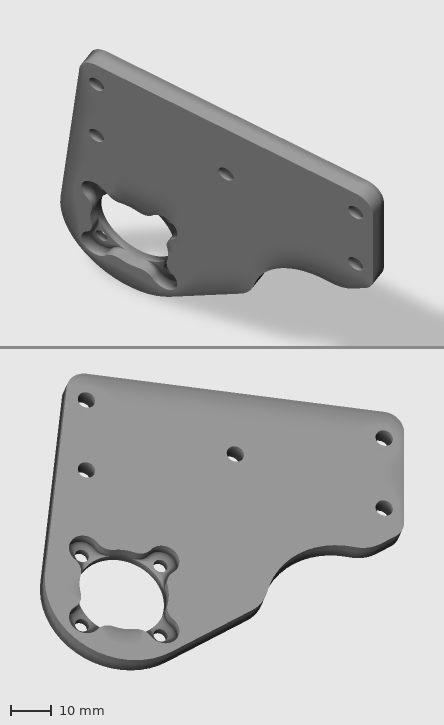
import cadquery as cq
import math

thickness = 5.0
motor_end_radius = 20.0
corner_radius = 5.0

mount_hole_diameter = 4.35
mount_column_spacing = 75.0
mount_row_spacing = 20.0
left_column_x = -9.5
right_column_x = left_column_x + mount_column_spacing
upper_row_z = 52.75
lower_row_z = upper_row_z - mount_row_spacing
center_hole_x = (left_column_x + right_column_x) / 2
center_hole_z = (upper_row_z + lower_row_z) / 2

top_edge_margin = 7.5
top_z = upper_row_z + top_edge_margin
top_corner_z = top_z - corner_radius
lower_corner_z = 29.25

relief_x = 56.2
relief_z = -0.1
relief_radius = 20.7
relief_fillet = 10.0

motor_bore_diameter = 22.5
motor_bolt_circle = 28.0
motor_bolt_count = 4
motor_bolt_first_angle = math.radians(45)
motor_hole_diameter = 3.5
recess_lobe_radius = 4.0
recess_fillet = 4.0
recess_depth = 3.0

motor_axis = (0.0, 0.0)
upper_left = (left_column_x, top_corner_z)
upper_right = (right_column_x, top_corner_z)
lower_right = (right_column_x, lower_corner_z)
relief_center = (relief_x, relief_z)


def front_plane():
    """XZ workplane on the front face."""
    return cq.Workplane("XZ", origin=(0, -thickness / 2, 0))


def extrude_back(sketch, depth):
    """Extrude from the front face toward +Y."""
    return sketch.extrude(-depth)


def point_at(center, distance, angle):
    """Point at a distance from a center, at an angle in radians from +X toward +Z."""
    return (center[0] + distance * math.cos(angle), center[1] + distance * math.sin(angle))


def tangent_normal(start, start_radius, end, end_radius):
    """Normal angle of the line tangent to two circles on the right side, going start to end."""
    run = end[0] - start[0]
    rise = end[1] - start[1]
    swing = math.asin((start_radius - end_radius) / math.hypot(run, rise))
    return math.atan2(rise, run) - math.pi / 2 + swing


def fillet_edge_at(solid, point, radius):
    """Fillet the through-thickness edge nearest to an (x, z) point."""
    nearest = cq.selectors.NearestToPointSelector((point[0], 0, point[1]))
    return solid.edges("|Y").edges(nearest).fillet(radius)


def plate_blank():
    """Counterclockwise outline: straight sides run between the rounded corners and the motor end."""
    slope_normal = tangent_normal(motor_axis, motor_end_radius, lower_right, corner_radius)
    right_normal = 0.0
    top_normal = math.pi / 2
    quarter_normal = math.pi
    quarter_end = point_at(upper_left, corner_radius, quarter_normal)
    left_normal = tangent_normal(quarter_end, 0, motor_axis, motor_end_radius) % (2 * math.pi)
    full_turn_slope_normal = slope_normal + 2 * math.pi

    rounded_ends = [
        (lower_right, corner_radius, slope_normal, right_normal),
        (upper_right, corner_radius, right_normal, top_normal),
        (upper_left, corner_radius, top_normal, quarter_normal),
        (motor_axis, motor_end_radius, left_normal, full_turn_slope_normal),
    ]
    outline = front_plane().moveTo(*point_at(motor_axis, motor_end_radius, slope_normal))
    for center, radius, first_normal, last_normal in rounded_ends:
        middle = point_at(center, radius, (first_normal + last_normal) / 2)
        outline = outline.lineTo(*point_at(center, radius, first_normal))
        outline = outline.threePointArc(middle, point_at(center, radius, last_normal))
    return extrude_back(outline.close(), thickness)


def cut_relief(plate):
    """Cut the round relief and blend both of its ends into the sloping edge."""
    relief = extrude_back(front_plane().center(*relief_center).circle(relief_radius), thickness)
    plate = plate.cut(relief)

    normal = tangent_normal(motor_axis, motor_end_radius, lower_right, corner_radius)
    center_height = relief_x * math.cos(normal) + relief_z * math.sin(normal)
    gap = motor_end_radius - center_height
    foot = point_at(relief_center, gap, normal)
    half_chord = math.sqrt(relief_radius**2 - gap**2)
    for distance in (-half_chord, half_chord):
        crossing = point_at(foot, distance, normal + math.pi / 2)
        plate = fillet_edge_at(plate, crossing, relief_fillet)
    return plate


def motor_bolt_centers():
    """Centers of the motor screws, equally spaced on the bolt circle."""
    spacing = 2 * math.pi / motor_bolt_count
    angles = [motor_bolt_first_angle + i * spacing for i in range(motor_bolt_count)]
    return [point_at(motor_axis, motor_bolt_circle / 2, angle) for angle in angles]


def motor_recess():
    """Bore-sized disc with a lobe around each motor hole, blended by concave fillets."""
    bore_radius = motor_bore_diameter / 2
    bolt_radius = motor_bolt_circle / 2
    recess = extrude_back(front_plane().circle(bore_radius), recess_depth)
    lobes = front_plane().pushPoints(motor_bolt_centers()).circle(recess_lobe_radius)
    recess = recess.union(extrude_back(lobes, recess_depth))

    cosine_numerator = bolt_radius**2 + bore_radius**2 - recess_lobe_radius**2
    half_angle = math.acos(cosine_numerator / (2 * bolt_radius * bore_radius))
    for x, z in motor_bolt_centers():
        lobe_angle = math.atan2(z, x)
        for angle in (lobe_angle - half_angle, lobe_angle + half_angle):
            corner = point_at(motor_axis, bore_radius, angle)
            recess = fillet_edge_at(recess, corner, recess_fillet)
    return recess


def through_holes(centers, diameter):
    """Round holes through the full thickness."""
    return extrude_back(front_plane().pushPoints(centers).circle(diameter / 2), thickness)


mount_hole_centers = [(x, z) for x in (left_column_x, right_column_x) for z in (lower_row_z, upper_row_z)]
mount_hole_centers.append((center_hole_x, center_hole_z))

plate = cut_relief(plate_blank())
plate = plate.cut(motor_recess())
plate = plate.cut(through_holes([motor_axis], motor_bore_diameter))
plate = plate.cut(through_holes(motor_bolt_centers(), motor_hole_diameter))
plate = plate.cut(through_holes(mount_hole_centers, mount_hole_diameter))

result = plate